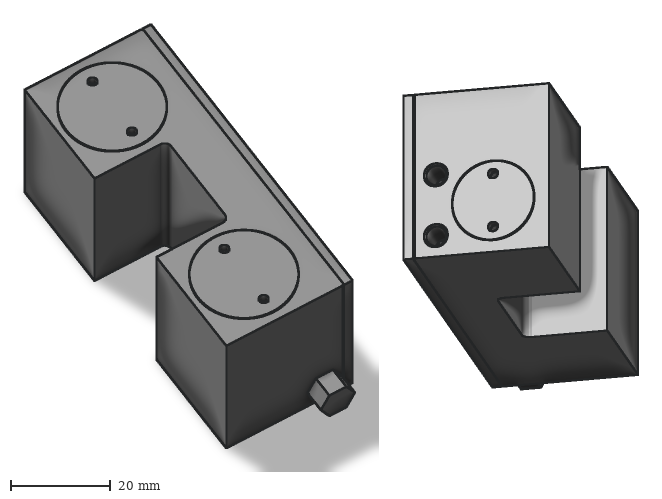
import cadquery as cq
import math

length = 75.0
depth = 30.0
height = 35.0
plate_thickness = 2.0
block_depth = depth - plate_thickness
back_edge_chamfer = 0.4

notch_width = 23.0
notch_depth = 17.2
notch_corner_radius = 1.5
leg_width = (length - notch_width) / 2

cover_rise = 0.1
groove_width = 0.1
groove_depth = 0.1
top_cover_diameter = 22.0
top_cover_y = 12.5
side_cover_diameter = 17.0
side_cover_y = 11.5
side_cover_z = 11.0
spanner_hole_diameter = 2.0
spanner_hole_depth = 2.0
drill_point_angle = 118.0

port_diameter = 4.13
port_mouth_diameter = 4.92
port_depth = 8.0
port_y = depth - 6.7
lower_port_z = 4.5
port_count = 2
port_spacing = 13.0

hex_across_flats = 7.0
hex_length = 5.0

top_face = cq.Plane(origin=(0, 0, height), xDir=(1, 0, 0), normal=(0, 0, 1))
left_face = cq.Plane(origin=(0, 0, 0), xDir=(0, -1, 0), normal=(-1, 0, 0))


def drilled_hole(face, u, v, diameter, hole_depth):
    """Cutter for a blind hole with a conical drill point, going in from the cover surface."""
    radius = diameter / 2
    point_length = radius / math.tan(math.radians(drill_point_angle / 2))
    profile = (
        cq.Workplane("XZ")
        .moveTo(0, cover_rise)
        .lineTo(radius, cover_rise)
        .lineTo(radius, cover_rise - hole_depth)
        .lineTo(0, cover_rise - hole_depth - point_length)
        .close()
    )
    cutter = profile.revolve(360, (0, 0, 0), (0, 1, 0)).val()
    center = face.toWorldCoords((u, v, 0))
    return cutter.moved(cq.Location(cq.Plane(center, face.xDir, face.zDir)))


def add_cover(block, face, u, v, diameter, hole_direction):
    """Raise a disc on a face, cut the thin groove around it and drill its two spanner holes."""
    disc_radius = diameter / 2 - groove_width
    groove = cq.Workplane(face).center(u, v).circle(diameter / 2).circle(disc_radius).extrude(-groove_depth)
    disc = cq.Workplane(face).center(u, v).circle(disc_radius).extrude(cover_rise)
    block = block.cut(groove).union(disc)
    hole_offset = diameter / 3
    for side in (-1, 1):
        hole_u = u + side * hole_offset * hole_direction[0]
        hole_v = v + side * hole_offset * hole_direction[1]
        hole = drilled_hole(face, hole_u, hole_v, spanner_hole_diameter, spanner_hole_depth)
        block = block.cut(cq.Workplane(hole))
    return block


def cut_port(block, z):
    """Cut a blind port with a 45 degree countersunk mouth into the left face."""
    bore = cq.Workplane(left_face).center(-port_y, z).circle(port_diameter / 2).extrude(-port_depth)
    mouth = (
        cq.Workplane(left_face)
        .center(-port_y, z)
        .circle(port_mouth_diameter / 2)
        .workplane(offset=-(port_mouth_diameter - port_diameter) / 2)
        .circle(port_diameter / 2)
        .loft(ruled=True)
    )
    return block.cut(bore).cut(mouth)


def make_housing():
    block = cq.Workplane("XY").box(length, block_depth, height, centered=False)
    block = block.edges("|Z and >Y").chamfer(back_edge_chamfer)
    notch = (
        cq.Workplane("XY")
        .box(notch_width, notch_depth, height, centered=False)
        .edges("|Z and >Y")
        .fillet(notch_corner_radius)
        .translate((leg_width, 0, 0))
    )
    block = block.cut(notch)
    for cover_x in (leg_width / 2, length - leg_width / 2):
        block = add_cover(block, top_face, cover_x, top_cover_y, top_cover_diameter, (1, 0))
    block = add_cover(block, left_face, -side_cover_y, side_cover_z, side_cover_diameter, (0, 1))
    for index in range(port_count):
        block = cut_port(block, lower_port_z + index * port_spacing)
    return block


def make_back_plate():
    plate = cq.Workplane("XY").box(length, plate_thickness, height, centered=False)
    return plate.translate((0, block_depth, 0))


def make_hex_fitting():
    """Hexagonal bar with flats facing up and down."""
    across_corners = hex_across_flats / math.cos(math.pi / 6)
    return (
        cq.Workplane("YZ", origin=(length, port_y, lower_port_z))
        .polygon(6, across_corners)
        .extrude(hex_length)
    )


housing = make_housing()
back_plate = make_back_plate()
hex_fitting = make_hex_fitting()

result = cq.Compound.makeCompound([housing.val(), back_plate.val(), hex_fitting.val()])